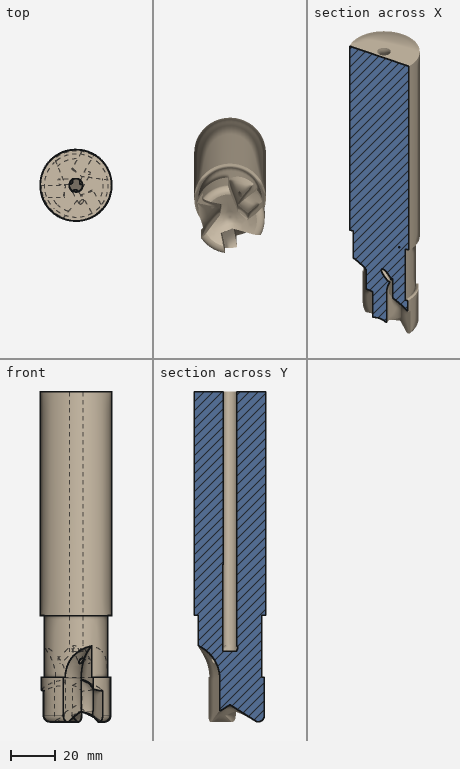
import cadquery as cq
import math

total_length = 147.5
shank_length = 100.0
shank_diameter = 32.0
neck_diameter = 28.4
head_diameter = 31.0
head_length = 20.1
tip_radius = 3.0

rim_inner_radius = 12.0
hollow_height = 7.6

bore_diameter = 6.0
bore_floor_z = 31.6
coolant_hole_diameter = 2.5
coolant_offset = 1.65
coolant_start_x = -3.2
coolant_start_overlap = 2.0
coolant_hole_length = 13.0

tooth_count = 3
flute_root_radius = 4.7
flute_floor_slant = 22.4
flute_straight_top_z = 19.7
flute_runout_radius = 16.0
flute_reach = 30.0

seat_depth = 5.4
seat_inner_top_z = 18.9
seat_middle_top_z = 17.9
seat_outer_top_z = 14.7
seat_relief_drop = 2.5
seat_floor_shift = 1.2
foot_top_z = 4.4
foot_top_rise = 0.6
foot_undercut = 1.2

shoulder_z = total_length - shank_length
shank_radius = shank_diameter / 2
neck_radius = neck_diameter / 2
head_radius = head_diameter / 2
tooth_step = 360.0 / tooth_count
clearance = 5.0
half_quadrant = math.radians(45)


def make_blank():
    """Turned body with the rounded tip, the hollow end face and the central bore."""
    arc_centre_x = head_radius - tip_radius
    arc_middle = (
        arc_centre_x + tip_radius * math.cos(half_quadrant),
        tip_radius - tip_radius * math.sin(half_quadrant),
    )
    body = (
        cq.Workplane("XZ")
        .moveTo(0, hollow_height)
        .lineTo(rim_inner_radius, 0)
        .lineTo(arc_centre_x, 0)
        .threePointArc(arc_middle, (head_radius, tip_radius))
        .lineTo(head_radius, head_length)
        .lineTo(neck_radius, head_length)
        .lineTo(neck_radius, shoulder_z)
        .lineTo(shank_radius, shoulder_z)
        .lineTo(shank_radius, total_length)
        .lineTo(0, total_length)
        .close()
        .revolve(360, (0, 0, 0), (0, 1, 0))
    )
    bore = (
        cq.Workplane("XY", origin=(0, 0, bore_floor_z))
        .circle(bore_diameter / 2)
        .extrude(total_length - bore_floor_z)
    )
    return body.cut(bore)


def make_flute():
    """Flute of the tooth at -X: its wall is the radial plane Y = 0, open towards +Y."""
    slant = math.radians(flute_floor_slant)
    profile_plane = cq.Plane(
        origin=(-flute_root_radius, 0, 0),
        xDir=(-math.cos(slant), -math.sin(slant), 0),
        normal=(-math.sin(slant), math.cos(slant), 0),
    )
    arc_offset = flute_runout_radius * (1 - math.cos(half_quadrant))
    arc_rise = flute_runout_radius * math.sin(half_quadrant)
    sweep = (
        cq.Workplane(profile_plane)
        .moveTo(0, -clearance)
        .lineTo(0, flute_straight_top_z)
        .threePointArc(
            (arc_offset, flute_straight_top_z + arc_rise),
            (flute_runout_radius, flute_straight_top_z + flute_runout_radius),
        )
        .lineTo(flute_reach, flute_straight_top_z + flute_runout_radius)
        .lineTo(flute_reach, -clearance)
        .close()
        .extrude(flute_reach, both=True)
    )
    open_side = cq.Workplane("XY").box(
        2 * flute_reach, flute_reach, total_length, centered=(True, False, True)
    )
    return sweep.intersect(open_side)


def sink_behind_wall(outline, rise):
    """Prism from a closed outline on the wall Y = 0, leaning as it goes into the tooth."""
    lean = cq.Vector(-seat_floor_shift, -seat_depth, rise)
    return cq.Workplane(cq.Solid.extrudeLinear(outline.val(), [], lean))


def make_insert_seat():
    """Seat with an arched top that drops as it goes deeper behind the cutting edge."""
    middle_x = -(flute_root_radius + head_radius) / 2
    outer_x = -head_radius - clearance
    outline = (
        cq.Workplane("XZ")
        .moveTo(-flute_root_radius, -clearance)
        .lineTo(-flute_root_radius, seat_inner_top_z)
        .threePointArc((middle_x, seat_middle_top_z), (-head_radius, seat_outer_top_z))
        .lineTo(outer_x, seat_outer_top_z)
        .lineTo(outer_x, -clearance)
        .close()
    )
    return sink_behind_wall(outline, -seat_relief_drop)


def make_seat_foot():
    """Undercut facet at the foot of the seat floor."""
    outline = (
        cq.Workplane("XZ")
        .moveTo(-flute_root_radius, foot_top_z)
        .lineTo(-flute_root_radius + foot_undercut, 0)
        .lineTo(-flute_root_radius, 0)
        .close()
    )
    return sink_behind_wall(outline, foot_top_rise)


def make_coolant_hole():
    """Hole falling at 45 degrees from the bore floor into the curved end of the flute."""
    start = cq.Vector(
        coolant_start_x + coolant_start_overlap,
        coolant_offset,
        bore_floor_z + coolant_start_overlap,
    )
    outward_and_down = cq.Vector(-1, 0, -1)
    return cq.Workplane(
        cq.Solid.makeCylinder(
            coolant_hole_diameter / 2, coolant_hole_length, start, outward_and_down
        )
    )


result = make_blank()
for tool in (make_flute(), make_insert_seat(), make_seat_foot(), make_coolant_hole()):
    for tooth in range(tooth_count):
        result = result.cut(tool.rotate((0, 0, 0), (0, 0, 1), tooth * tooth_step))